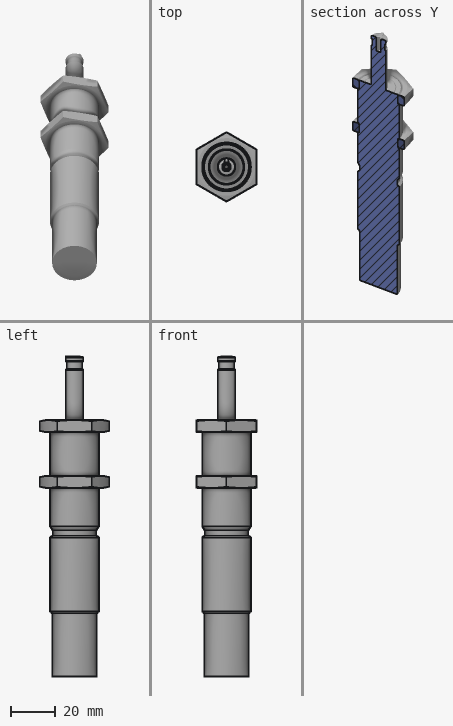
import cadquery as cq
import math


thread_major_diameter = 22.0
thread_minor_diameter = 20.38
thread_chamfer = (thread_major_diameter - thread_minor_diameter) / 2

housing_height = 115.0
top_chamfer = 1.0
lower_diameter = 20.0
lower_top_height = 28.3
lower_step_chamfer = (thread_major_diameter - lower_diameter) / 2
groove_diameter = 19.7
groove_start_height = 62.3
groove_floor_start_height = 63.2
groove_floor_end_height = 65.5
groove_end_height = 67.4

cap_groove_inner_diameter = 15.1
cap_groove_outer_diameter = 16.0
cap_groove_mean_diameter = (cap_groove_inner_diameter + cap_groove_outer_diameter) / 2
cap_groove_depth = (cap_groove_outer_diameter - cap_groove_inner_diameter) / 4

total_height = 143.56
rod_diameter = 8.0
rod_shoulder_height = 137.9
rod_neck_diameter = 7.0
rod_chamfer = (rod_diameter - rod_neck_diameter) / 2
head_underside_height = 141.0
head_crown_drop = 0.4
head_edge_chamfer = 0.25
head_top_diameter = 4.0
rod_hole_diameter = 2.0
rod_hole_depth = 8.0
rod_recess_floor_diameter = 3.0
rod_recess_depth = (head_top_diameter - rod_recess_floor_diameter) / 2

key_inner_width = 2.2
key_outer_width = 1.2
key_inner_reach = 1.6
key_height = head_crown_drop + head_edge_chamfer

nut_across_flats = 27.0
nut_across_corners = nut_across_flats / math.cos(math.radians(30))
nut_thickness = 5.5
nut_face_diameter = 25.8
nut_chamfer_angle = 12.0
nut_pitch = 25.0
nut_base_heights = [
    housing_height - nut_thickness,
    housing_height - nut_thickness - nut_pitch,
]


def make_nut(base_height):
    """Hexagon nut with conical corner chamfers and a bore countersunk at both ends."""
    hexagon = (
        cq.Workplane("XY")
        .polygon(6, nut_across_corners)
        .extrude(nut_thickness)
        .rotate((0, 0, 0), (0, 0, 1), 30)
    )

    corner_radius = nut_across_corners / 2
    face_radius = nut_face_diameter / 2
    corner_drop = (corner_radius - face_radius) * math.tan(math.radians(nut_chamfer_angle))
    corner_envelope = (
        cq.Workplane("XZ")
        .moveTo(0, 0)
        .lineTo(face_radius, 0)
        .lineTo(corner_radius, corner_drop)
        .lineTo(corner_radius, nut_thickness - corner_drop)
        .lineTo(face_radius, nut_thickness)
        .lineTo(0, nut_thickness)
        .close()
        .revolve(360, (0, 0, 0), (0, 1, 0))
    )

    major_radius = thread_major_diameter / 2
    minor_radius = thread_minor_diameter / 2
    bore = (
        cq.Workplane("XZ")
        .moveTo(0, 0)
        .lineTo(major_radius, 0)
        .lineTo(minor_radius, thread_chamfer)
        .lineTo(minor_radius, nut_thickness - thread_chamfer)
        .lineTo(major_radius, nut_thickness)
        .lineTo(0, nut_thickness)
        .close()
        .revolve(360, (0, 0, 0), (0, 1, 0))
    )

    return hexagon.intersect(corner_envelope).cut(bore).translate((0, 0, base_height))


def make_turned_housing():
    """Stepped barrel and piston rod, revolved about Z as one body."""
    major_radius = thread_major_diameter / 2
    lower_radius = lower_diameter / 2
    groove_radius = groove_diameter / 2
    rod_radius = rod_diameter / 2
    neck_radius = rod_neck_diameter / 2
    crown_edge_height = total_height - head_crown_drop
    return (
        cq.Workplane("XZ")
        .moveTo(0, 0)
        .lineTo(lower_radius, 0)
        .lineTo(lower_radius, lower_top_height)
        .lineTo(major_radius, lower_top_height + lower_step_chamfer)
        .lineTo(major_radius, groove_start_height)
        .lineTo(groove_radius, groove_floor_start_height)
        .lineTo(groove_radius, groove_floor_end_height)
        .lineTo(major_radius, groove_end_height)
        .lineTo(major_radius, housing_height - top_chamfer)
        .lineTo(major_radius - top_chamfer, housing_height)
        .lineTo(cap_groove_outer_diameter / 2, housing_height)
        .lineTo(cap_groove_mean_diameter / 2, housing_height - cap_groove_depth)
        .lineTo(cap_groove_inner_diameter / 2, housing_height)
        .lineTo(rod_radius, housing_height)
        .lineTo(rod_radius, rod_shoulder_height - rod_chamfer)
        .lineTo(neck_radius, rod_shoulder_height)
        .lineTo(neck_radius, head_underside_height)
        .lineTo(rod_radius, head_underside_height + rod_chamfer)
        .lineTo(rod_radius, crown_edge_height - head_edge_chamfer)
        .lineTo(rod_radius - head_edge_chamfer, crown_edge_height)
        .lineTo(head_top_diameter / 2, total_height)
        .lineTo(0, total_height)
        .close()
        .revolve(360, (0, 0, 0), (0, 1, 0))
    )


def make_head_key():
    """Flat-topped tapered strip level with the top of the rod, trimmed to the rod diameter."""
    strip = (
        cq.Workplane("XY", origin=(0, 0, total_height - key_height))
        .moveTo(-key_inner_width / 2, key_inner_reach)
        .lineTo(key_inner_width / 2, key_inner_reach)
        .lineTo(key_outer_width / 2, rod_diameter / 2)
        .lineTo(-key_outer_width / 2, rod_diameter / 2)
        .close()
        .extrude(key_height)
    )
    rod_envelope = cq.Workplane("XY").circle(rod_diameter / 2).extrude(total_height)
    return strip.intersect(rod_envelope)


def make_rod_hole():
    """Chamfered recess in the rod head with a smaller blind hole in its floor."""
    hole_radius = rod_hole_diameter / 2
    hole_floor = total_height - rod_hole_depth
    recess_floor = total_height - rod_recess_depth
    return (
        cq.Workplane("XZ")
        .moveTo(0, hole_floor)
        .lineTo(hole_radius, hole_floor)
        .lineTo(hole_radius, recess_floor)
        .lineTo(rod_recess_floor_diameter / 2, recess_floor)
        .lineTo(head_top_diameter / 2, total_height)
        .lineTo(0, total_height)
        .close()
        .revolve(360, (0, 0, 0), (0, 1, 0))
    )


nuts = [make_nut(base_height) for base_height in nut_base_heights]

housing = make_turned_housing().union(make_head_key()).cut(make_rod_hole())
for nut in nuts:
    housing = housing.cut(nut)

result = cq.Compound.makeCompound([housing.val()] + [nut.val() for nut in nuts])